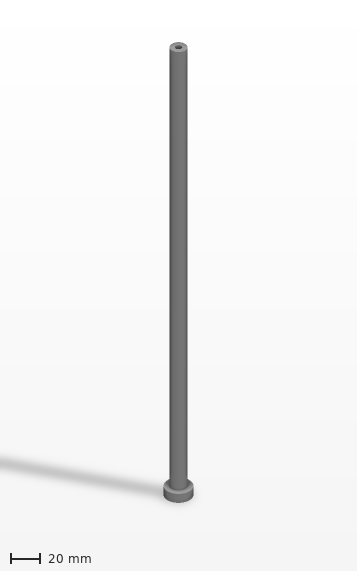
import cadquery as cq

total_length = 357.0
head_diameter = 20.0
head_height = 7.0
tube_diameter = 12.0
bore_diameter = 5.0
neck_fillet = 0.43

bottom = -total_length / 2
base = cq.Workplane("XY").workplane(offset=bottom)
head = base.circle(head_diameter / 2).extrude(head_height)
stem = base.circle(tube_diameter / 2).extrude(total_length)
body = head.union(stem)

head_top = body.faces("|Z").faces(">Z[-2]")
neck_edge = head_top.edges(cq.selectors.RadiusNthSelector(0))
body = neck_edge.fillet(neck_fillet)

bore = base.circle(bore_diameter / 2).extrude(total_length)

result = body.cut(bore)